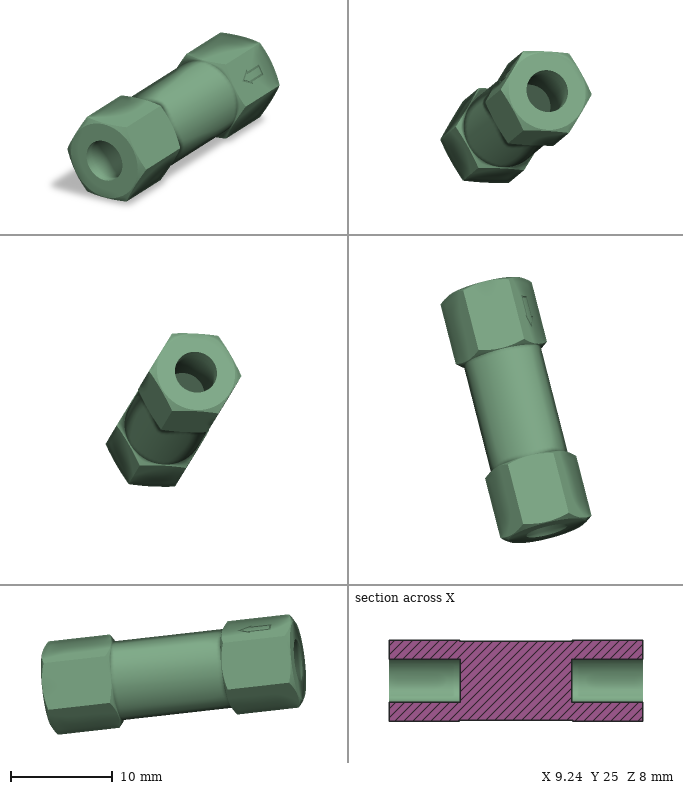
import cadquery as cq
import math

total_length = 25.0
across_flats = 8.0
across_corners = across_flats / math.cos(math.radians(30))
hex_length = 7.0
barrel_diameter = 7.8

chamfer_face_diameter = barrel_diameter
chamfer_angle = 30.0

bore_diameter = 4.2
bore_depth = hex_length

arrow_tail_y = 10.5
arrow_head_y = 8.45
arrow_tip_y = 7.12
arrow_shaft_width = 1.1
arrow_head_width = 1.6
arrow_line_width = 0.2
arrow_depth = 0.1
arrow_flat_angle = 60.0


def y_cylinder(diameter, length, start_y):
    """Cylinder along Y, from start_y toward +Y."""
    plane = cq.Plane(origin=(0, start_y, 0), xDir=(1, 0, 0), normal=(0, 1, 0))
    return cq.Workplane(plane).circle(diameter / 2).extrude(length)


def hex_end(start_y):
    """Hexagon with its corners on the X axis and both ends turned to a cone."""
    plane = cq.Plane(origin=(0, start_y, 0), xDir=(1, 0, 0), normal=(0, 1, 0))
    prism = cq.Workplane(plane).polygon(6, across_corners).extrude(hex_length)
    face_radius = chamfer_face_diameter / 2
    corner_radius = across_corners / 2
    drop = (corner_radius - face_radius) * math.tan(math.radians(chamfer_angle))
    end_y = start_y + hex_length
    turned = (
        cq.Workplane("XY")
        .moveTo(0, start_y)
        .lineTo(face_radius, start_y)
        .lineTo(corner_radius, start_y + drop)
        .lineTo(corner_radius, end_y - drop)
        .lineTo(face_radius, end_y)
        .lineTo(0, end_y)
        .close()
        .revolve(360, (0, 0, 0), (0, 1, 0))
    )
    return prism.intersect(turned)


def flow_arrow():
    """Cutter for the arrow outline, sunk into the flat and pointing to -Y."""
    tilt = math.radians(arrow_flat_angle)
    normal = cq.Vector(math.sin(tilt), 0, math.cos(tilt))
    plane = cq.Plane(
        origin=(normal * (across_flats / 2)).toTuple(),
        xDir=(math.cos(tilt), 0, -math.sin(tilt)),
        normal=normal.toTuple(),
    )
    shaft = arrow_shaft_width / 2
    head = arrow_head_width / 2
    outline = [
        (-shaft, arrow_tail_y),
        (shaft, arrow_tail_y),
        (shaft, arrow_head_y),
        (head, arrow_head_y),
        (0, arrow_tip_y),
        (-head, arrow_head_y),
        (-shaft, arrow_head_y),
    ]
    outer = cq.Workplane(plane).polyline(outline).close().extrude(-arrow_depth)
    inner = (
        cq.Workplane(plane)
        .polyline(outline)
        .close()
        .offset2D(-arrow_line_width, "intersection")
        .extrude(-arrow_depth)
    )
    return outer.cut(inner)


half_length = total_length / 2
result = (
    y_cylinder(barrel_diameter, total_length, -half_length)
    .union(hex_end(-half_length))
    .union(hex_end(half_length - hex_length))
    .cut(y_cylinder(bore_diameter, bore_depth, -half_length))
    .cut(y_cylinder(bore_diameter, bore_depth, half_length - bore_depth))
    .cut(flow_arrow())
)